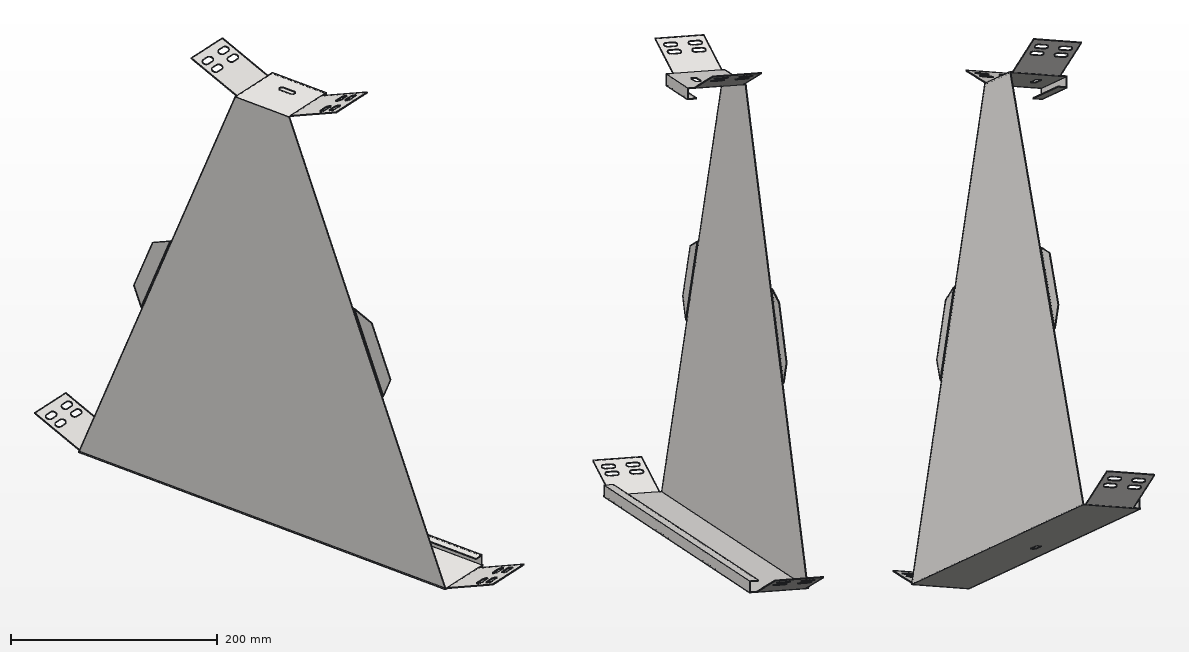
import cadquery as cq
import math

overall_width = 557.5
overall_depth = 61.0
overall_height = 482.5
sheet = 1.0
flare = math.radians(22.5)

wing_length = 60.0
wing_width = 49.5
wing_setback = 3.0

lip_height = 11.5
return_depth = 9.5
lip_end_gap = 1.0

slot_width = 6.5
slot_length = 14.0
slot_end_distance = 11.5
slot_column_pitch = 12.0
slot_row_pitch = 25.0
wall_slot_length = 18.5
wall_slot_width = 6.0

tab_reach = 17.5
tab_tip_width = 59.5
joggle_run = 1.0

rise_per_wing = wing_length * math.sin(flare) + sheet * math.cos(flare)
plate_height = overall_height - rise_per_wing + sheet
lower_half = overall_width / 2 - wing_length * math.cos(flare)
upper_half = lower_half - plate_height * math.tan(flare)
back = overall_depth - sheet
wing_mid_y = wing_setback + wing_width / 2
wall_slot_y = wing_mid_y + slot_row_pitch / 2
cut_depth = 10 * sheet


def block(x_range, y_range, z_range):
    """Box between the given limits along each axis."""
    size = [high - low for low, high in (x_range, y_range, z_range)]
    corner = (x_range[0], y_range[0], z_range[0])
    return cq.Workplane("XY").box(*size, centered=False).translate(corner)


def mirrored_pair(body):
    """The body together with its mirror image across X = 0."""
    return body.union(body.mirror("YZ"))


def main_plate():
    """Trapezoidal plate with its sheet thickness toward +Y."""
    outline = [
        (-lower_half, 0),
        (lower_half, 0),
        (upper_half, plate_height),
        (-upper_half, plate_height),
    ]
    return cq.Workplane("XZ").polyline(outline).close().extrude(-sheet)


def wing():
    """Slotted connector strip rising from a fold line at the origin toward +X."""
    strip = block((0, wing_length), (wing_setback, wing_setback + wing_width), (0, sheet))
    first_column = wing_length - slot_end_distance
    centres = [
        (first_column - column * slot_column_pitch, wing_mid_y + side * slot_row_pitch / 2)
        for column in (0, 1)
        for side in (-1, 1)
    ]
    slots = (
        cq.Workplane("XY", origin=(0, 0, -cut_depth / 2))
        .pushPoints(centres)
        .slot2D(slot_length, slot_width, 90)
        .extrude(cut_depth)
    )
    return strip.cut(slots).rotate((0, 0, 0), (0, 1, 0), -math.degrees(flare))


def fold_filler():
    """Wedge that closes the mitre between a wall and its wing at the origin."""
    tip = (-sheet * math.sin(flare), sheet * math.cos(flare))
    outline = [(0, 0), tip, (-sheet, sheet), (-sheet, 0)]
    return (
        cq.Workplane("XZ", origin=(0, wing_setback, 0))
        .polyline(outline)
        .close()
        .extrude(-wing_width)
    )


def flanged_wall(half_width, lip_half_width, base_z, lip_base_z, return_base_z):
    """Wall square to the plate with lip, return, central slot and two wings."""
    wall = block((-half_width, half_width), (0, back), (base_z, base_z + sheet))
    lip_x = (-lip_half_width, lip_half_width)
    lip = block(lip_x, (back - sheet, back), (lip_base_z, lip_base_z + lip_height))
    lip_return = block(lip_x, (back - return_depth, back), (return_base_z, return_base_z + sheet))
    slot = (
        cq.Workplane("XY", origin=(0, wall_slot_y, base_z - cut_depth / 2))
        .slot2D(wall_slot_length, wall_slot_width)
        .extrude(cut_depth)
    )
    wings = mirrored_pair(wing().union(fold_filler()).translate((half_width, 0, base_z)))
    return wall.union(lip).union(lip_return).cut(slot).union(wings)


def side_tab():
    """Chamfered tab stepped one sheet back from the middle of the +X plate side."""
    root_half = tab_tip_width / 2 + tab_reach
    profile = [
        (-sheet, 0),
        (0, 0),
        (joggle_run, sheet),
        (tab_reach, sheet),
        (tab_reach, 2 * sheet),
        (joggle_run, 2 * sheet),
        (0, sheet),
        (-sheet, sheet),
    ]
    stepped = (
        cq.Workplane("XY", origin=(0, 0, -root_half))
        .polyline(profile)
        .close()
        .extrude(2 * root_half)
    )
    outline = [
        (-sheet, -root_half),
        (0, -root_half),
        (tab_reach, -tab_tip_width / 2),
        (tab_reach, tab_tip_width / 2),
        (0, root_half),
        (-sheet, root_half),
    ]
    envelope = cq.Workplane("XZ").polyline(outline).close().extrude(-2 * sheet)
    side_middle = ((lower_half + upper_half) / 2, 0, plate_height / 2)
    tab = stepped.intersect(envelope)
    return tab.rotate((0, 0, 0), (0, 1, 0), -math.degrees(flare)).translate(side_middle)


lower_wall = flanged_wall(
    half_width=lower_half,
    lip_half_width=lower_half - lip_end_gap,
    base_z=0,
    lip_base_z=0,
    return_base_z=lip_height - sheet,
)
upper_wall = flanged_wall(
    half_width=upper_half,
    lip_half_width=upper_half,
    base_z=plate_height - sheet,
    lip_base_z=plate_height - lip_height,
    return_base_z=plate_height - lip_height,
)

rear_tab = side_tab()
forward_tab = rear_tab.mirror("YZ").mirror("XZ").translate((0, sheet, 0))
result = main_plate().union(lower_wall).union(upper_wall).union(rear_tab).union(forward_tab)